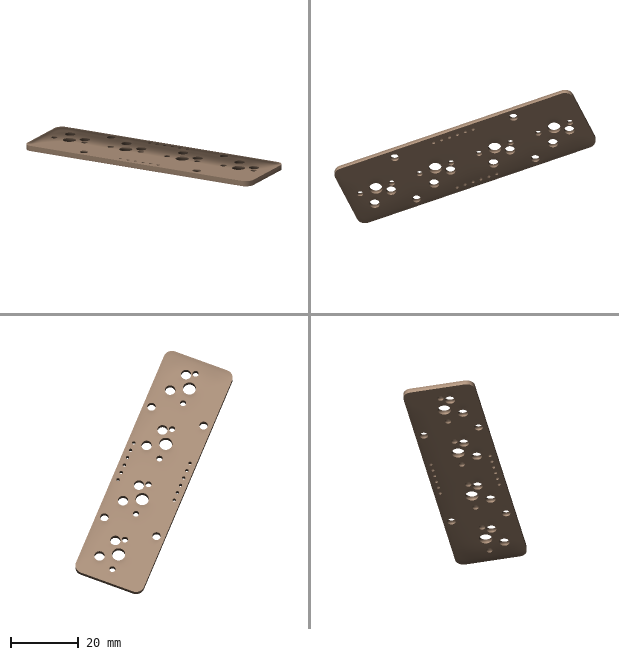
import cadquery as cq

length = 76.2
width = 21.6
thickness = 1.6
corner_radius = 2.5

switch_count = 4
switch_pitch = length / switch_count
grid = switch_pitch / 7.5
stem_diameter = 3.9
guide_diameter = 1.8
contact_diameter = 3.05

mount_diameter = 2.5
mount_spacing_x = 2 * switch_pitch
mount_spacing_y = 16.5

pin_diameter = 1.0
pins_per_row = 6
pin_row_spacing = 17.8


def centred_positions(count, pitch):
    """Evenly spaced positions centred on zero."""
    return [(i - (count - 1) / 2) * pitch for i in range(count)]


def drill(plate, points, diameter):
    """Cut through holes at points measured from the plate centre."""
    return plate.faces(">Z").workplane(origin=(0, 0, 0)).pushPoints(points).hole(diameter)


def drill_switch(plate, x):
    """Cut the centre, guide and contact holes of one key switch."""
    guides = [(x - 2 * grid, 0), (x + 2 * grid, 0)]
    contacts = [(x - grid, 2 * grid), (x + 1.5 * grid, grid)]
    plate = drill(plate, [(x, 0)], stem_diameter)
    plate = drill(plate, guides, guide_diameter)
    return drill(plate, contacts, contact_diameter)


plate = cq.Workplane("XY").box(length, width, thickness).edges("|Z").fillet(corner_radius)

for switch_x in centred_positions(switch_count, switch_pitch):
    plate = drill_switch(plate, switch_x)

mount_points = [
    (x, y)
    for x in centred_positions(2, mount_spacing_x)
    for y in centred_positions(2, mount_spacing_y)
]
plate = drill(plate, mount_points, mount_diameter)

pin_points = [
    (x, side * pin_row_spacing / 2)
    for side in (-1, 1)
    for x in centred_positions(pins_per_row, grid)
]
plate = drill(plate, pin_points, pin_diameter)

result = plate